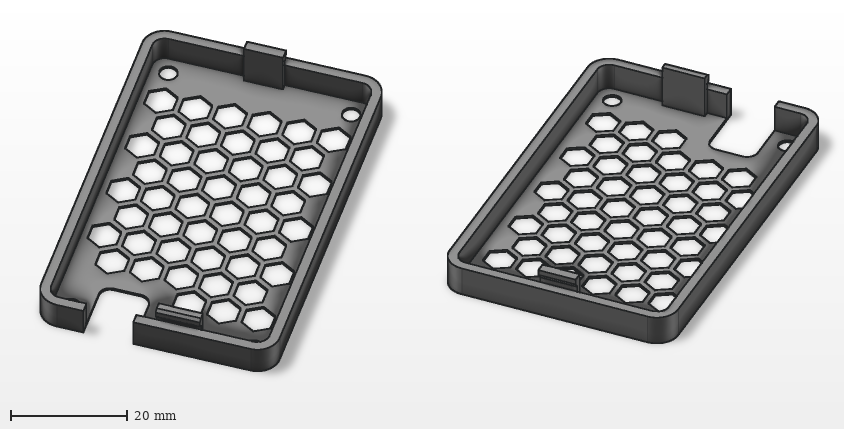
import cadquery as cq
import math

length = 67.0
width = 43.0
wall_height = 5.5
wall = 1.8
floor_thickness = 0.5
corner_radius = 4.0

screw_diameter = 3.2
screw_inset = 5.0

hex_radius = 3.0
hex_pitch_x = 6.2
hex_pitch_y = 5.5
hex_center_x = -0.25
hex_rows = 9
hexes_in_long_row = 6
hexes_beside_notch = 3

notch_width = 9.0
notch_depth = 11.0
notch_center_x = -8.2
notch_radius = 2.0

clip_top = 8.5
clip_thickness = 1.1
hook_reach = 0.75
hook_bottom = 6.5
back_clip_width = 7.05
back_clip_center_x = 0.0
back_hook_flat = 1.0
front_clip_width = 8.0
front_clip_center_x = 4.0
front_chamfer_height = 0.5
front_chamfer_depth = 0.6

inner_length = length - 2 * wall
inner_width = width - 2 * wall
wall_face_y = inner_length / 2


def rounded_block(size_x, size_y, height, radius):
    return cq.Workplane("XY").rect(size_x, size_y).extrude(height).edges("|Z").fillet(radius)


def tray():
    outside = rounded_block(width, length, wall_height, corner_radius)
    inside = rounded_block(inner_width, inner_length, wall_height, corner_radius - wall)
    return outside.cut(inside.translate((0, 0, floor_thickness)))


def screw_holes():
    spacing_x = width - 2 * screw_inset
    spacing_y = length - 2 * screw_inset
    return (
        cq.Workplane("XY")
        .rect(spacing_x, spacing_y, forConstruction=True)
        .vertices()
        .circle(screw_diameter / 2)
        .extrude(floor_thickness)
    )


def vent_centers():
    """Staggered rows from back to front; the last row only has the vents right of the notch."""
    centers = []
    for row in range(hex_rows):
        y = ((hex_rows - 1) / 2 - row) * hex_pitch_y
        count = hexes_in_long_row - row % 2
        first = count - hexes_beside_notch if row == hex_rows - 1 else 0
        for column in range(first, count):
            x = hex_center_x + (column - (count - 1) / 2) * hex_pitch_x
            centers.append((x, y))
    return centers


def vents():
    corners = []
    for corner in range(6):
        angle = math.radians(90 + 60 * corner)
        corners.append((hex_radius * math.cos(angle), hex_radius * math.sin(angle)))
    hexagon = cq.Workplane("XY").polyline(corners).close().extrude(floor_thickness).val()
    return (
        cq.Workplane("XY")
        .pushPoints(vent_centers())
        .eachpoint(lambda place: hexagon.moved(place), combine=True)
    )


def notch():
    overshoot = 2 * notch_radius
    block = rounded_block(notch_width, notch_depth + overshoot, wall_height, notch_radius)
    center_y = -length / 2 + (notch_depth - overshoot) / 2
    return block.translate((notch_center_x, center_y, 0))


def clip(hook_outline, clip_width, center_x):
    """Clip at the back wall; hook_outline gives (reach past the wall face, z) from stem to top."""
    outline = [
        (wall_face_y - clip_thickness, clip_top),
        (wall_face_y - clip_thickness, 0),
        (wall_face_y, 0),
    ]
    outline += [(wall_face_y + reach, z) for reach, z in hook_outline]
    return (
        cq.Workplane("YZ")
        .polyline(outline)
        .close()
        .extrude(clip_width / 2, both=True)
        .translate((center_x, 0, 0))
    )


def back_clip():
    hook = [(0, hook_bottom), (hook_reach, clip_top - back_hook_flat), (hook_reach, clip_top)]
    return clip(hook, back_clip_width, back_clip_center_x)


def front_clip():
    chamfer_start = hook_reach - front_chamfer_depth
    hook = [
        (0, hook_bottom),
        (chamfer_start, hook_bottom),
        (hook_reach, hook_bottom + front_chamfer_height),
        (hook_reach, clip_top - front_chamfer_height),
        (chamfer_start, clip_top),
    ]
    return clip(hook, front_clip_width, front_clip_center_x).mirror("XZ")


result = tray().cut(screw_holes()).cut(vents()).cut(notch()).union(back_clip()).union(front_clip())